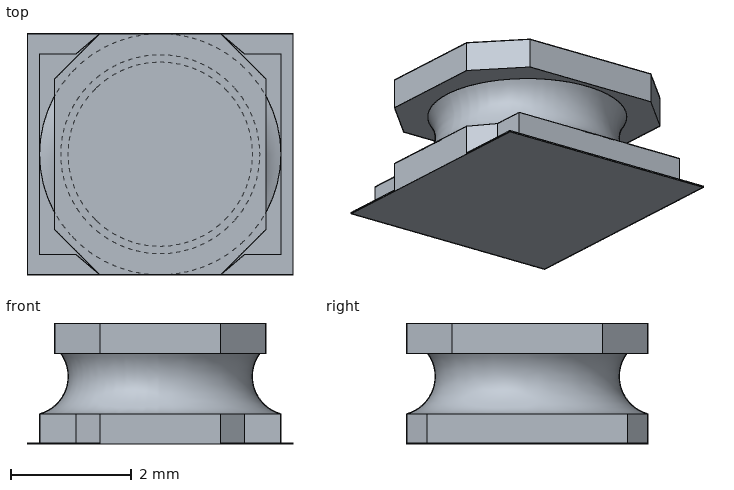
import cadquery as cq

base_length = 4.4
base_width = 4.0
base_thickness = 0.02

total_height = 2.0
flange_height = total_height / 4
upper_flange_bottom = total_height - flange_height

lower_length = base_width
lower_notch_x = 1.4
lower_notch_y = 1.66

upper_length = 3.5
upper_corner_y = 1.25

end_edge_half = base_width / 4

core_foot_radius = lower_length / 2
core_neck_radius = 1.525
core_neck_height = 1.13
core_top_radius = 1.65


def symmetric_plate(quadrant, bottom, top):
    """Extrude an outline mirrored in X and Y from its first-quadrant points."""
    right_half = [(x, -y) for x, y in quadrant] + quadrant[::-1]
    left_half = [(-x, -y) for x, y in right_half]
    outline = cq.Workplane("XY").workplane(offset=bottom).polyline(right_half + left_half).close()
    return outline.extrude(top - bottom)


def make_core():
    """Revolve the concave waist that joins the two flanges."""
    return (
        cq.Workplane("XZ")
        .moveTo(0, flange_height)
        .lineTo(core_foot_radius, flange_height)
        .threePointArc((core_neck_radius, core_neck_height), (core_top_radius, upper_flange_bottom))
        .lineTo(0, upper_flange_bottom)
        .close()
        .revolve(360, (0, 0), (0, 1))
    )


base = cq.Workplane("XY").box(base_length, base_width, base_thickness, centered=(True, True, False))

lower_quadrant = [
    (end_edge_half, base_width / 2),
    (lower_notch_x, lower_notch_y),
    (lower_length / 2, lower_notch_y),
]
lower_flange = symmetric_plate(lower_quadrant, 0, flange_height)

upper_quadrant = [
    (end_edge_half, base_width / 2),
    (upper_length / 2, upper_corner_y),
]
upper_flange = symmetric_plate(upper_quadrant, upper_flange_bottom, total_height)

result = base.union(lower_flange).union(make_core()).union(upper_flange)